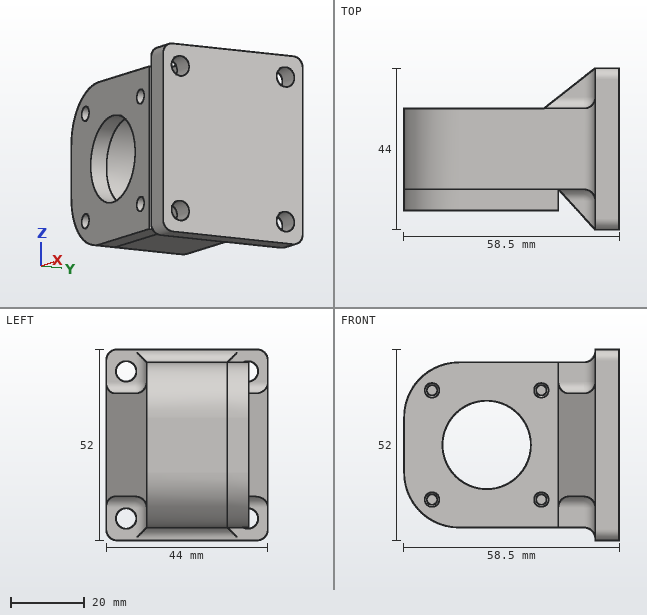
import cadquery as cq
length = 58.5
flange_width = 44.0
flange_height = 52.0
flange_thickness = 6.5
flange_corner_radius = 3.0
flange_face_x = length - flange_thickness

body_height = 45.0
body_corner_radius = 15.0
housing_depth = 22.0
cover_length = 42.0
cover_thickness = 5.8
cover_face_y = -housing_depth / 2

gusset_height = 28.0
rear_gusset_length = 14.0
fillet_radius = 3.05

bore_x = body_height / 2
cover_bore_diameter = 24.0
cavity_front_diameter = 33.5
cavity_rear_diameter = 32.75
cover_recess_depth = 0.8
screw_offset = 14.85
cover_screw_diameter = 4.0
tapped_hole_diameter = 2.8
tapped_hole_depth = 11.7
countersink_depth = (cover_screw_diameter - tapped_hole_diameter) / 2
screw_points = [(bore_x + i * screw_offset, j * screw_offset) for i in (-1, 1) for j in (-1, 1)]
mount_hole_diameter = 5.5
mount_spacing_y = 33.1
mount_spacing_z = 40.0


def rounded_block(block_length, depth, front_y):
    """Block from x = 0 and y = front_y, with its two -X corners rounded about Y."""
    return (
        cq.Workplane("XY")
        .box(block_length, depth, body_height, centered=(False, False, True))
        .translate((0, front_y, 0))
        .edges("|Y and <X")
        .fillet(body_corner_radius)
    )


def cylinders_along_y(points, diameter, start_y, depth):
    """Cylinders at the given (x, z) points, running from start_y towards +Y."""
    return (
        cq.Workplane("XZ", origin=(0, start_y, 0))
        .pushPoints(points)
        .circle(diameter / 2)
        .extrude(-depth)
    )


def make_plate():
    """Square-cornered blank of the flange."""
    return (
        cq.Workplane("XY")
        .box(flange_thickness, flange_width, flange_height, centered=(False, True, True))
        .translate((flange_face_x, 0, 0))
    )


def make_flange():
    return make_plate().edges("|X").fillet(flange_corner_radius)


def make_filleted_cross():
    """Bar of cross-shaped section, filleted along its inner corners and into an end plate.

    The arms of the cross are still full-length; the gusset slopes are cut from it later.
    """
    trunk = cq.Workplane("XY").box(
        flange_face_x, housing_depth, body_height, centered=(False, True, True)
    )
    arms = cq.Workplane("XY").box(
        flange_face_x, flange_width, gusset_height, centered=(False, True, True)
    )
    plate = make_plate()
    corner_points = [
        (flange_face_x / 2, i * housing_depth / 2, j * gusset_height / 2)
        for i in (-1, 1)
        for j in (-1, 1)
    ]
    arm_root_y = (housing_depth + flange_width) / 4
    trunk_side_z = (gusset_height + body_height) / 4
    root_points = []
    for j in (-1, 1):
        root_points.append((flange_face_x, 0, j * body_height / 2))
        for i in (-1, 1):
            root_points.append((flange_face_x, i * arm_root_y, j * gusset_height / 2))
            root_points.append((flange_face_x, i * housing_depth / 2, j * trunk_side_z))
    cross = trunk.union(arms).union(plate)
    edge_points = corner_points + root_points
    inner_edges = [cross.edges(cq.NearestToPointSelector(p)).val() for p in edge_points]
    return cross.newObject(inner_edges).fillet(fillet_radius)


def make_plan():
    """Prism with the plan outline of the housing, gussets and flange."""
    return (
        cq.Workplane("XY", origin=(0, 0, -flange_height / 2))
        .moveTo(0, cover_face_y)
        .lineTo(cover_length, cover_face_y)
        .lineTo(flange_face_x, -flange_width / 2)
        .lineTo(length, -flange_width / 2)
        .lineTo(length, flange_width / 2)
        .lineTo(flange_face_x, flange_width / 2)
        .lineTo(flange_face_x - rear_gusset_length, housing_depth / 2)
        .lineTo(0, housing_depth / 2)
        .close()
        .extrude(flange_height)
    )


def make_end_profile():
    """Full-width block that rounds the -X end of the housing, plus the rounded flange."""
    block = rounded_block(flange_face_x, flange_width, -flange_width / 2)
    root_block = (
        cq.Workplane("XY")
        .box(2 * fillet_radius, flange_width, flange_height, centered=(False, True, True))
        .translate((flange_face_x - 2 * fillet_radius, 0, 0))
    )
    return block.union(root_block).union(make_flange())


def make_housing():
    housing = make_filleted_cross().intersect(make_plan()).intersect(make_end_profile())
    mount_holes = (
        cq.Workplane("YZ", origin=(flange_face_x - fillet_radius, 0, 0))
        .rect(mount_spacing_y, mount_spacing_z, forConstruction=True)
        .vertices()
        .circle(mount_hole_diameter / 2)
        .extrude(flange_thickness + fillet_radius)
    )
    return housing.cut(make_cavity()).cut(make_tapped_holes()).cut(mount_holes)


def make_cavity():
    """Slightly tapered bore, widest at the bottom of the cover recess."""
    recess_y = cover_face_y - cover_recess_depth
    return (
        cq.Workplane("XY")
        .moveTo(0, recess_y)
        .lineTo(cavity_front_diameter / 2, recess_y)
        .lineTo(cavity_rear_diameter / 2, housing_depth / 2)
        .lineTo(0, housing_depth / 2)
        .close()
        .revolve(360, (0, 0, 0), (0, 1, 0))
        .translate((bore_x, 0, 0))
    )


def make_tapped_holes():
    """Blind tapped holes with 45 degree countersunk mouths."""
    return (
        cq.Workplane("XZ", origin=(0, cover_face_y, 0))
        .pushPoints(screw_points)
        .circle(cover_screw_diameter / 2)
        .extrude(-countersink_depth, taper=45)
        .union(cylinders_along_y(screw_points, tapped_hole_diameter, cover_face_y, tapped_hole_depth))
    )


def make_cover():
    front_y = cover_face_y - cover_thickness
    cover = rounded_block(cover_length, cover_thickness, front_y)
    bore = cylinders_along_y([(bore_x, 0)], cover_bore_diameter, front_y, cover_thickness)
    screw_holes = cylinders_along_y(screw_points, cover_screw_diameter, front_y, cover_thickness)
    return cover.cut(bore).cut(make_cavity()).cut(screw_holes)


housing = make_housing()
cover = make_cover()
result = cq.Compound.makeCompound([housing.val(), cover.val()])